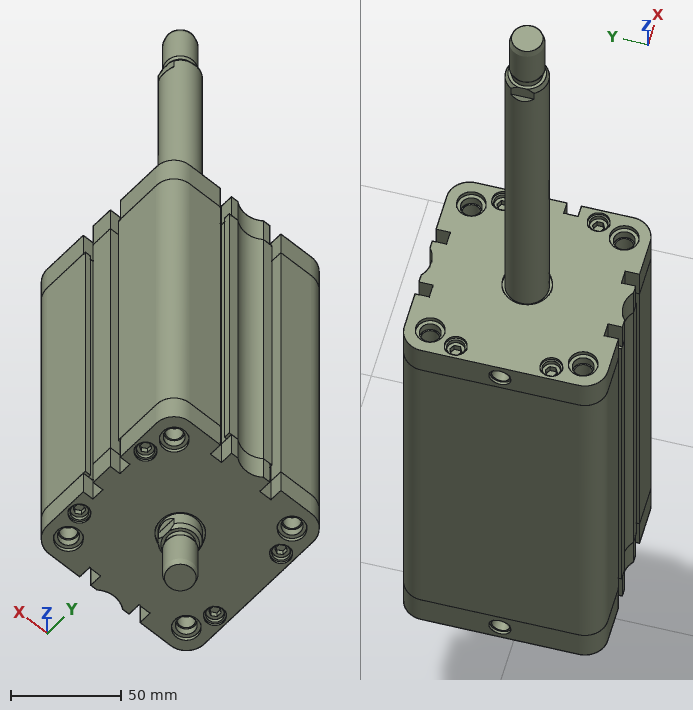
import cadquery as cq
import math

TOTAL_LENGTH = 448.0
BODY_BOTTOM = 36.7
BODY_TOP = 252.0
CAP_HEIGHT = 15.5

BODY_WIDTH = 95.5
CORNER_RADIUS = 10.8
HALF_WIDTH = BODY_WIDTH / 2

SLOT_DEPTH = 6.5
LIP_THICKNESS = 3.0
LIP_WIDTH = 1.5
LIP_LEVELS = (HALF_WIDTH - LIP_THICKNESS, HALF_WIDTH)
FACE_SLOT_INNER = 11.5
FACE_SLOT_OUTER = 18.5
SIDE_SLOT_INNER = 6.0
SIDE_SLOT_OUTER = 12.5
SIDE_SLOT_DEPTH = 6.0

FLUTE_DIAMETER = 25.0
FLUTE_DEPTH = 2.5

ROD_DIAMETER = 20.0
THREAD_DIAMETER = 16.0
NECK_DIAMETER = 14.5
END_LENGTH = 28.0
NECK_LENGTH = 3.0
THREAD_ROOT_RISE = 1.5
THREAD_TIP_RISE = 3.0
THREAD_TIP_INSET = 1.0
SHOULDER_RISE = 2.2
SHOULDER_INSET = 1.5
WRENCH_WIDTH = 17.0
WRENCH_LENGTH = 6.5

ROD_RECESS_DIAMETER = 23.0
ROD_RECESS_DEPTH = 1.5
MOUNT_OFFSET = 36.0
MOUNT_RECESS_DIAMETER = 13.5
MOUNT_RECESS_DEPTH = 2.2
MOUNT_STEP_DIAMETER = 10.0
MOUNT_STEP_DEPTH = 6.5
MOUNT_HOLE_DIAMETER = 8.5
SCREW_X = 41.0
SCREW_Y = 22.5
SCREW_RECESS_DIAMETER = 10.5
SCREW_RECESS_DEPTH = 1.5
SCREW_STEP_DIAMETER = 8.5
SCREW_STEP_DEPTH = 3.5
HEX_SIDES = 6
HEX_WIDTH = 5.0
HEX_DEPTH = 6.5
PORT_MOUTH_DIAMETER = 10.5
PORT_MOUTH_DEPTH = 1.5
PORT_DIAMETER = 8.5
PORT_DEPTH = 9.0


def cylinder(diameter, height, x=0.0, y=0.0, z=0.0):
    """Upright cylinder standing at the given place."""
    return cq.Workplane("XY", origin=(x, y, z)).circle(diameter / 2).extrude(height)


def box_between(x_range, y_range, height):
    """Upright box standing on Z = 0 between two X and two Y limits."""
    x_size = x_range[1] - x_range[0]
    y_size = y_range[1] - y_range[0]
    box = cq.Workplane("XY").box(x_size, y_size, height, centered=False)
    return box.translate((x_range[0], y_range[0], 0))


def face_slot(height, lipped):
    """Slot in the +Y face on the +X side; a lip narrows its mouth on the inner side."""
    floor = HALF_WIDTH - SLOT_DEPTH
    slot = box_between((FACE_SLOT_INNER, FACE_SLOT_OUTER), (floor, HALF_WIDTH), height)
    if lipped:
        lip_x = (FACE_SLOT_INNER, FACE_SLOT_INNER + LIP_WIDTH)
        slot = slot.cut(box_between(lip_x, LIP_LEVELS, height))
    return slot


def side_slot(height, lipped):
    """Slot in the +X face on the +Y side; a lip narrows its mouth on the outer side."""
    floor = HALF_WIDTH - SIDE_SLOT_DEPTH
    slot = box_between((floor, HALF_WIDTH), (SIDE_SLOT_INNER, SIDE_SLOT_OUTER), height)
    if lipped:
        lip_y = (SIDE_SLOT_OUTER - LIP_WIDTH, SIDE_SLOT_OUTER)
        slot = slot.cut(box_between(LIP_LEVELS, lip_y, height))
    return slot


def profile(height, lipped):
    """Square bar on Z = 0 with its slots, its flutes and the bore for the rod."""
    bar = cq.Workplane("XY").rect(BODY_WIDTH, BODY_WIDTH).extrude(height)
    bar = bar.edges("|Z").fillet(CORNER_RADIUS)

    corner_slot = face_slot(height, lipped)
    for slot in (corner_slot, corner_slot.mirror("YZ"), side_slot(height, lipped)):
        bar = bar.cut(slot).cut(slot.mirror("XZ"))

    flute_y = HALF_WIDTH - FLUTE_DEPTH + FLUTE_DIAMETER / 2
    for side in (-1, 1):
        bar = bar.cut(cylinder(FLUTE_DIAMETER, height, y=side * flute_y))
    return bar.cut(cylinder(ROD_DIAMETER, height))


def make_barrel():
    """Barrel between the two caps."""
    length = BODY_TOP - BODY_BOTTOM - 2 * CAP_HEIGHT
    return profile(length, lipped=True).translate((0, 0, BODY_BOTTOM + CAP_HEIGHT))


def sink(cap, diameter, depth, x=0.0, y=0.0):
    """Cut a round hole down from the outer face of a cap."""
    return cap.cut(cylinder(diameter, depth, x, y, CAP_HEIGHT - depth))


def cut_mounting_hole(cap, x, y):
    """Stepped hole through a corner of the cap."""
    cap = sink(cap, MOUNT_RECESS_DIAMETER, MOUNT_RECESS_DEPTH, x, y)
    cap = sink(cap, MOUNT_STEP_DIAMETER, MOUNT_STEP_DEPTH, x, y)
    return sink(cap, MOUNT_HOLE_DIAMETER, CAP_HEIGHT, x, y)


def cut_screw_recess(cap, x, y):
    """Stepped round recess with a hexagon socket in its floor, two flats facing X."""
    cap = sink(cap, SCREW_RECESS_DIAMETER, SCREW_RECESS_DEPTH, x, y)
    cap = sink(cap, SCREW_STEP_DIAMETER, SCREW_STEP_DEPTH, x, y)
    across_corners = HEX_WIDTH / math.cos(math.pi / HEX_SIDES)
    socket = cq.Workplane("XY").polygon(HEX_SIDES, across_corners).extrude(HEX_DEPTH)
    socket = socket.rotate((0, 0, 0), (0, 0, 1), 180 / HEX_SIDES)
    return cap.cut(socket.translate((x, y, CAP_HEIGHT - HEX_DEPTH)))


def make_cap():
    """End cap standing on Z = 0 with its outer face up."""
    cap = profile(CAP_HEIGHT, lipped=False)
    cap = sink(cap, ROD_RECESS_DIAMETER, ROD_RECESS_DEPTH)
    for x_side in (-1, 1):
        for y_side in (-1, 1):
            cap = cut_mounting_hole(cap, x_side * MOUNT_OFFSET, y_side * MOUNT_OFFSET)
            cap = cut_screw_recess(cap, x_side * SCREW_X, y_side * SCREW_Y)

    port_face = cq.Workplane("YZ", origin=(-HALF_WIDTH, 0, CAP_HEIGHT / 2))
    cap = cap.cut(port_face.circle(PORT_MOUTH_DIAMETER / 2).extrude(PORT_MOUTH_DEPTH))
    return cap.cut(port_face.circle(PORT_DIAMETER / 2).extrude(PORT_DEPTH))


def make_rod():
    """Through rod, built as an upper half and mirrored about its middle."""
    half = TOTAL_LENGTH / 2
    shoulder = half - END_LENGTH
    thread_start = shoulder + NECK_LENGTH
    rod_r = ROD_DIAMETER / 2
    neck_r = NECK_DIAMETER / 2
    thread_r = THREAD_DIAMETER / 2
    outline = [
        (0, 0),
        (rod_r, 0),
        (rod_r, shoulder - SHOULDER_RISE),
        (rod_r - SHOULDER_INSET, shoulder),
        (neck_r, shoulder),
        (neck_r, thread_start),
        (thread_r, thread_start + THREAD_ROOT_RISE),
        (thread_r, half - THREAD_TIP_RISE),
        (thread_r - THREAD_TIP_INSET, half),
        (0, half),
    ]
    upper = cq.Workplane("XZ").polyline(outline).close().revolve(360, (0, 0, 0), (0, 1, 0))

    flat_x = WRENCH_WIDTH / 2
    flat_bottom = shoulder - WRENCH_LENGTH
    run_out = rod_r - flat_x
    flat = (
        cq.Workplane("XZ")
        .moveTo(flat_x, shoulder)
        .lineTo(flat_x, flat_bottom)
        .lineTo(rod_r, flat_bottom - run_out)
        .lineTo(rod_r, shoulder)
        .close()
        .extrude(rod_r, both=True)
    )
    upper = upper.cut(flat).cut(flat.mirror("YZ"))
    return upper.union(upper.mirror("XY")).translate((0, 0, half))


barrel = make_barrel()
top_cap = make_cap().translate((0, 0, BODY_TOP - CAP_HEIGHT))
bottom_cap = make_cap().mirror("XY").translate((0, 0, BODY_BOTTOM + CAP_HEIGHT))
rod = make_rod()

result = cq.Compound.makeCompound([barrel.val(), top_cap.val(), bottom_cap.val(), rod.val()])